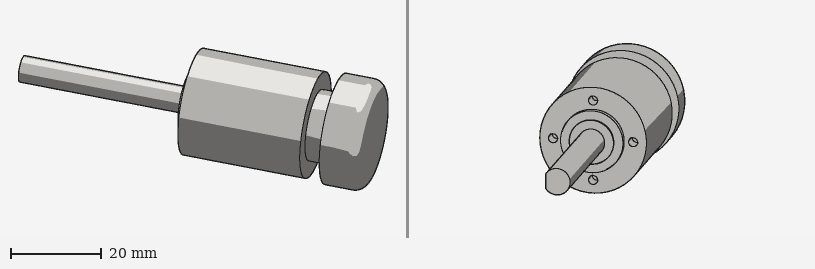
import cadquery as cq

TOTAL_LENGTH = 81.0

SHAFT_DIAMETER = 6.0
SHAFT_LENGTH = 37.4
FLAT_LENGTH = 33.9
FLAT_OFFSET = 2.5

STEP_DIAMETER = 10.0
STEP_LENGTH = 0.5
FLANGE_DIAMETER = 14.0
FLANGE_LENGTH = 1.45

BODY_DIAMETER = 24.0
BODY_LENGTH = 28.0
NECK_DIAMETER = 16.0
NECK_LENGTH = 4.6
CAP_DIAMETER = 25.0
CAP_ROUNDING = 2.7

HOLE_COUNT = 4
HOLE_DIAMETER = 2.0
HOLE_DEPTH = 4.05
HOLE_CIRCLE_DIAMETER = 18.0

step_start = SHAFT_LENGTH
flange_start = step_start + STEP_LENGTH
body_start = flange_start + FLANGE_LENGTH
neck_start = body_start + BODY_LENGTH
cap_start = neck_start + NECK_LENGTH


def plane_at(x):
    """Workplane across the axis, facing +X."""
    return cq.Workplane("YZ", origin=(x, 0, 0))


def cylinder(start, end, diameter):
    return plane_at(start).circle(diameter / 2).extrude(end - start)


def make_shaft():
    """Round shaft with a flat on its +Y side, running in from the tip."""
    shaft = cylinder(0, SHAFT_LENGTH, SHAFT_DIAMETER)
    flat_cutter = cq.Workplane("XY").box(
        FLAT_LENGTH, SHAFT_DIAMETER, SHAFT_DIAMETER, centered=(False, False, True)
    )
    return shaft.cut(flat_cutter.translate((0, FLAT_OFFSET, 0)))


def make_body():
    """Main cylinder with a ring of blind holes in its shaft-side face."""
    body = cylinder(body_start, neck_start, BODY_DIAMETER)
    holes = (
        plane_at(body_start)
        .polarArray(HOLE_CIRCLE_DIAMETER / 2, 0, 360, HOLE_COUNT)
        .circle(HOLE_DIAMETER / 2)
        .extrude(HOLE_DEPTH)
    )
    return body.cut(holes)


def make_cap():
    """End cap with a rounded outer rim."""
    return cylinder(cap_start, TOTAL_LENGTH, CAP_DIAMETER).faces(">X").edges().fillet(CAP_ROUNDING)


step = cylinder(step_start, flange_start, STEP_DIAMETER)
flange = cylinder(flange_start, body_start, FLANGE_DIAMETER)
neck = cylinder(neck_start, cap_start, NECK_DIAMETER)

result = make_shaft().union(step).union(flange).union(make_body()).union(neck).union(make_cap())